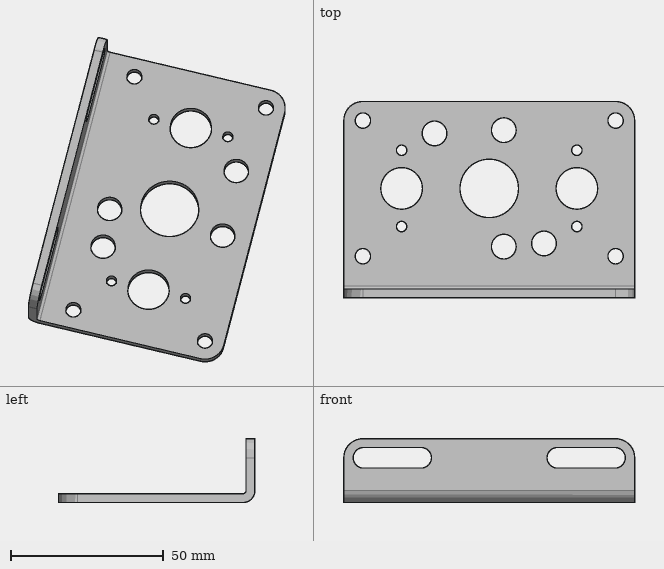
import cadquery as cq

width = 95.25
depth = 64.3
height = 21.0
thickness = 3.0
inner_bend_radius = 1.0
outer_bend_radius = inner_bend_radius + thickness
corner_radius = 6.3

slot_length = 25.5
slot_height = 6.7
slot_offset_x = 31.7
slot_z = height - corner_radius

mount_hole_diameter = 5.0
mount_x = width / 2 - corner_radius
mount_half_pitch_y = 22.2
bore_y = depth - corner_radius - mount_half_pitch_y
bore_diameter = 19.05
side_hole_diameter = 13.5
side_hole_x = 28.7
screw_hole_diameter = 3.3
screw_half_pitch_y = 12.5
access_hole_diameter = 8.0
inner_access_x = 4.8
inner_access_offset_y = 19.05
outer_access_x = 17.9
outer_access_offset_y = 18.0


def bent_sheet():
    """L-shaped profile in the YZ plane, extruded across the width."""
    profile = (
        cq.Workplane("YZ")
        .polyline([
            (0, 0), (depth, 0), (depth, thickness),
            (thickness, thickness), (thickness, height), (0, height),
        ])
        .close()
    )
    sheet = profile.extrude(width / 2, both=True)
    outer_edge = cq.selectors.NearestToPointSelector((0, 0, 0))
    inner_edge = cq.selectors.NearestToPointSelector((0, thickness, thickness))
    sheet = sheet.edges("|X").edges(outer_edge).fillet(outer_bend_radius)
    return sheet.edges("|X").edges(inner_edge).fillet(inner_bend_radius)


def round_free_corners(sheet):
    """Round the two rear plate corners and the two upper flange corners."""
    sheet = sheet.faces(">Y").edges("|Z").fillet(corner_radius)
    return sheet.faces(">Z").edges("|Y").fillet(corner_radius)


def plate_holes(diameter, offsets):
    """Cutters through the base plate at XY offsets from the central bore."""
    return (
        cq.Workplane("XY")
        .center(0, bore_y)
        .pushPoints(offsets)
        .circle(diameter / 2)
        .extrude(thickness)
    )


def mirrored_pattern(x, y):
    """Four points symmetric about both axes."""
    return [(side * x, end * y) for side in (-1, 1) for end in (-1, 1)]


def flange_slots():
    """Horizontal slot cutters through the upright flange."""
    return (
        cq.Workplane("XZ")
        .pushPoints([(-slot_offset_x, slot_z), (slot_offset_x, slot_z)])
        .slot2D(slot_length, slot_height)
        .extrude(-thickness)
    )


access_offsets = [
    (inner_access_x, inner_access_offset_y),
    (inner_access_x, -inner_access_offset_y),
    (-outer_access_x, outer_access_offset_y),
    (outer_access_x, -outer_access_offset_y),
]
hole_groups = [
    (bore_diameter, [(0, 0)]),
    (side_hole_diameter, [(-side_hole_x, 0), (side_hole_x, 0)]),
    (mount_hole_diameter, mirrored_pattern(mount_x, mount_half_pitch_y)),
    (screw_hole_diameter, mirrored_pattern(side_hole_x, screw_half_pitch_y)),
    (access_hole_diameter, access_offsets),
]

bracket = round_free_corners(bent_sheet())
for hole_diameter, hole_offsets in hole_groups:
    bracket = bracket.cut(plate_holes(hole_diameter, hole_offsets))

result = bracket.cut(flange_slots())